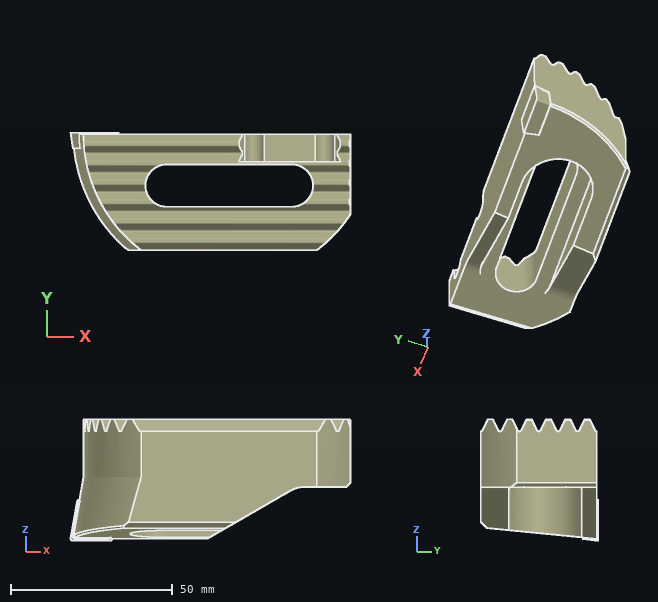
import cadquery as cq
import math

LENGTH = 86.5
TOP_Z = 37.6
INSERT_FACE_Y = 36.3

RIDGE_COUNT = 6
BODY_WIDTH = 35.9
RIDGE_PITCH = BODY_WIDTH / RIDGE_COUNT
CREST_WIDTH = 1.6
FLANK_ANGLE = 26.0
VALLEY_ROUND = 0.6
CREST_ROUND = 0.5
CREST_END_CHAMFER = 0.4

NOSE_RADIUS = 45.0
NOSE_LEFT_X = 4.0
NOSE_AXIS_X = NOSE_LEFT_X + NOSE_RADIUS
NOSE_AXIS_Y = BODY_WIDTH
NOSE_BREAK_Z = 19.7
NOSE_FLARE = 10.0
NOSE_EDGE_CHAMFER = 0.7

UNDERSIDE_Z = 0.6
UNDERSIDE_TILT = 5.6
UNDERSIDE_CHAMFER = 1.9
SHELF_Z = 16.6
SLANT_ANGLE = 30.0
SLANT_TOP_X = 69.9
SLANT_ROUND = 8.65
TAIL_CHAMFER = 1.3

SLOT_WIDTH = 13.0
SLOT_LENGTH = 51.7
SLOT_X = 49.05
SLOT_Y = 20.0
SEAT_WIDTH = 22.5
SEAT_LENGTH = SLOT_LENGTH - SLOT_WIDTH + SEAT_WIDTH

NOTCH_X = 67.7
NOTCH_TOP_LENGTH = 31.3
NOTCH_DEPTH = 9.5
NOTCH_DRAFT_DEPTH = 6.3
NOTCH_DRAFT = 15.0
NOTCH_WIDTH = 8.6
RELIEF_RADIUS = 3.0

INSERT_CIRCLE = 12.7
INSERT_ANGLE = 80.0
INSERT_THICKNESS = 4.8
INSERT_CLEARANCE = 7.0
INSERT_ROUND = 0.8


def tangent(degrees):
    return math.tan(math.radians(degrees))


def make_round_envelope():
    """Limit of the jaw around one vertical axis: flared on the nose half, plain on the tail half."""
    foot_radius = NOSE_RADIUS + NOSE_BREAK_Z * tangent(NOSE_FLARE)
    profile = cq.Workplane("YZ").polyline([
        (0, 0),
        (foot_radius, 0),
        (NOSE_RADIUS, NOSE_BREAK_Z),
        (NOSE_RADIUS, TOP_Z),
        (0, TOP_Z),
    ]).close()
    nose_half = profile.revolve(180, (0, 0, 0), (0, 1, 0))
    tail_half = cq.Workplane("XY").moveTo(0, -NOSE_RADIUS).threePointArc(
        (NOSE_RADIUS, 0), (0, NOSE_RADIUS)
    ).close().extrude(TOP_Z)
    return nose_half.union(tail_half).translate((NOSE_AXIS_X, NOSE_AXIS_Y, 0))


def make_side_block():
    """Side outline of the jaw, with the slant and the tail shelf, across the full width."""
    slant_foot_x = SLANT_TOP_X - SHELF_Z / tangent(SLANT_ANGLE)
    nose_clearance_x = -NOSE_LEFT_X
    outline = cq.Workplane("XZ").polyline([
        (nose_clearance_x, 0),
        (slant_foot_x, 0),
        (SLANT_TOP_X, SHELF_Z),
        (LENGTH - TAIL_CHAMFER, SHELF_Z),
        (LENGTH, SHELF_Z + TAIL_CHAMFER),
        (LENGTH, TOP_Z - CREST_END_CHAMFER),
        (LENGTH - CREST_END_CHAMFER, TOP_Z),
        (nose_clearance_x, TOP_Z),
    ]).close()
    block = outline.extrude(-BODY_WIDTH)
    slant_edge = cq.selectors.NearestToPointSelector((SLANT_TOP_X, BODY_WIDTH / 2, SHELF_Z))
    return block.edges("|Y").edges(slant_edge).fillet(SLANT_ROUND)


def make_bar(section_points):
    """Straight bar along X, over the full length of the jaw, from a cross section."""
    start_x = -NOSE_LEFT_X
    section = cq.Workplane("YZ", origin=(start_x, 0, 0)).polyline(section_points).close()
    return section.extrude(LENGTH - start_x)


def make_underside_bar():
    """Bar with the tilted underside and its chamfered edge."""
    chamfer_low_z = UNDERSIDE_Z + (BODY_WIDTH - UNDERSIDE_CHAMFER) * tangent(UNDERSIDE_TILT)
    return make_bar([
        (BODY_WIDTH, UNDERSIDE_Z),
        (UNDERSIDE_CHAMFER, chamfer_low_z),
        (0, chamfer_low_z + UNDERSIDE_CHAMFER),
        (0, TOP_Z),
        (BODY_WIDTH, TOP_Z),
    ])


def make_ridge_bar():
    """Bar with rounded ridges on top; one spare ridge on each side completes the outer valleys."""
    half_pitch = RIDGE_PITCH / 2
    half_crest = CREST_WIDTH / 2
    valley_z = TOP_Z - (half_pitch - half_crest) / tangent(FLANK_ANGLE)
    low_y = -RIDGE_PITCH
    high_y = BODY_WIDTH + RIDGE_PITCH

    points = [(high_y, 0), (low_y, 0), (low_y, valley_z)]
    for ridge in range(-1, RIDGE_COUNT + 1):
        middle_y = (ridge + 0.5) * RIDGE_PITCH
        points.append((middle_y - half_crest, TOP_Z))
        points.append((middle_y + half_crest, TOP_Z))
        points.append((middle_y + half_pitch, valley_z))
    bar = make_bar(points)

    margin = 0.1
    crests = cq.selectors.BoxSelector(
        (0, low_y, TOP_Z - margin), (LENGTH, high_y, TOP_Z + margin)
    )
    valleys = cq.selectors.BoxSelector(
        (0, -margin, valley_z - margin), (LENGTH, BODY_WIDTH + margin, valley_z + margin)
    )
    bar = bar.edges("|X").edges(crests).fillet(CREST_ROUND)
    return bar.edges("|X").edges(valleys).fillet(VALLEY_ROUND)


def make_slot():
    """Through slot and the wider seat below it."""
    plan = cq.Workplane("XY").center(SLOT_X, SLOT_Y)
    slot = plan.slot2D(SLOT_LENGTH, SLOT_WIDTH).extrude(TOP_Z)
    seat = plan.slot2D(SEAT_LENGTH, SEAT_WIDTH).extrude(SHELF_Z)
    return slot.union(seat)


def make_notch():
    """Notch with drafted ends and relief grooves, open to the top and the insert side."""
    floor_z = TOP_Z - NOTCH_DEPTH
    draft_end_z = TOP_Z - NOTCH_DRAFT_DEPTH
    half_top = NOTCH_TOP_LENGTH / 2
    half_floor = half_top - NOTCH_DRAFT_DEPTH * tangent(NOTCH_DRAFT)
    plane = cq.Workplane("XZ", origin=(NOTCH_X, BODY_WIDTH, 0))
    notch = plane.polyline([
        (-half_top, TOP_Z),
        (-half_floor, draft_end_z),
        (-half_floor, floor_z),
        (half_floor, floor_z),
        (half_floor, draft_end_z),
        (half_top, TOP_Z),
    ]).close().extrude(NOTCH_WIDTH)
    relief_offset = half_floor - RELIEF_RADIUS
    for x in (-relief_offset, relief_offset):
        notch = notch.union(plane.center(x, floor_z).circle(RELIEF_RADIUS).extrude(NOTCH_WIDTH))
    return notch


def make_insert():
    """Rhombic insert that narrows from its outer face towards the seat inside the jaw."""
    lean = INSERT_CIRCLE / tangent(INSERT_ANGLE)
    side = INSERT_CIRCLE / math.sin(math.radians(INSERT_ANGLE))
    sharp_corner_x = INSERT_ROUND * (1 - 1 / tangent(INSERT_ANGLE / 2))
    outline = cq.Workplane("XZ", origin=(sharp_corner_x, INSERT_FACE_Y, 0)).polyline([
        (0, 0),
        (side, 0),
        (side + lean, INSERT_CIRCLE),
        (lean, INSERT_CIRCLE),
    ]).close()
    insert = outline.extrude(INSERT_THICKNESS, taper=INSERT_CLEARANCE)
    return insert.edges("not #Y").fillet(INSERT_ROUND)


def make_jaw(insert):
    """Jaw body, with a pocket that fits the insert."""
    jaw = make_underside_bar().intersect(make_ridge_bar()).intersect(make_side_block())
    jaw = jaw.intersect(make_round_envelope())
    nose_edge = cq.selectors.NearestToPointSelector((NOSE_LEFT_X, BODY_WIDTH / 2, UNDERSIDE_Z))
    jaw = jaw.edges(nose_edge).chamfer(NOSE_EDGE_CHAMFER)
    jaw = jaw.cut(make_slot()).cut(make_notch())
    return jaw.cut(insert)


cutting_insert = make_insert()
jaw = make_jaw(cutting_insert)
result = cq.Compound.makeCompound([jaw.val(), cutting_insert.val()])